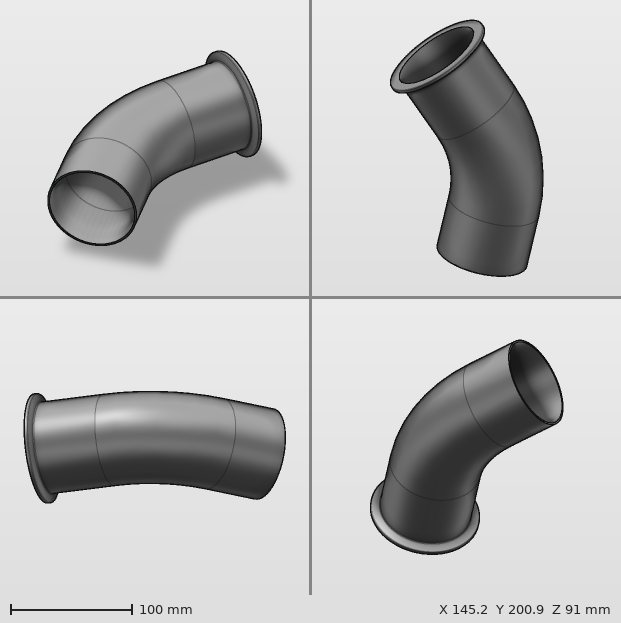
import cadquery as cq
import math

tube_outer_diameter = 76.1
tube_bore_diameter = 73.0
tube_outer_radius = tube_outer_diameter / 2
tube_bore_radius = tube_bore_diameter / 2

inlet_length = 46.4
bend_radius = 114.3
bend_angle = 45
outlet_length = 59.0

flange_diameter = 91.0
flange_radius = flange_diameter / 2
rim_thickness = 3.0
back_taper_angle = 20
rim_edge_round = 0.6
neck_round = 1.0

bend_end_x = bend_radius * (1 - math.cos(math.radians(bend_angle)))
bend_end_y = inlet_length + bend_radius * math.sin(math.radians(bend_angle))


def tube_section(y):
    """Ring-shaped cross section of the tube, square to the Y axis."""
    plane = cq.Plane(origin=(0, y, 0), xDir=(1, 0, 0), normal=(0, 1, 0))
    return cq.Workplane(plane).circle(tube_outer_radius).circle(tube_bore_radius)


def make_bend():
    """Torus segment turning from +Y toward +X."""
    return tube_section(inlet_length).revolve(bend_angle, (bend_radius, 0), (bend_radius, 1))


def make_outlet():
    """Straight outlet and its flange along +Y, starting at Y = 0."""
    rim_back = outlet_length - rim_thickness
    taper_rise = flange_radius - tube_outer_radius
    neck = rim_back - taper_rise * math.tan(math.radians(back_taper_angle))
    outlet = (
        cq.Workplane("XY")
        .moveTo(tube_bore_radius, 0)
        .lineTo(tube_outer_radius, 0)
        .lineTo(tube_outer_radius, neck)
        .lineTo(flange_radius, rim_back)
        .lineTo(flange_radius, outlet_length)
        .lineTo(tube_bore_radius, outlet_length)
        .close()
        .revolve(360, (0, 0), (0, 1))
    )
    outlet = outlet.edges("%CIRCLE").edges(cq.selectors.RadiusNthSelector(-1)).fillet(rim_edge_round)
    neck_zone = cq.selectors.BoxSelector(
        (-flange_radius, neck - neck_round, -flange_radius),
        (flange_radius, neck + neck_round, flange_radius),
    )
    return outlet.edges("%CIRCLE").edges(neck_zone).fillet(neck_round)


inlet = tube_section(0).extrude(inlet_length)
bend = make_bend()
outlet = make_outlet().rotate((0, 0, 0), (0, 0, 1), -bend_angle).translate((bend_end_x, bend_end_y, 0))

result = inlet.union(bend).union(outlet)